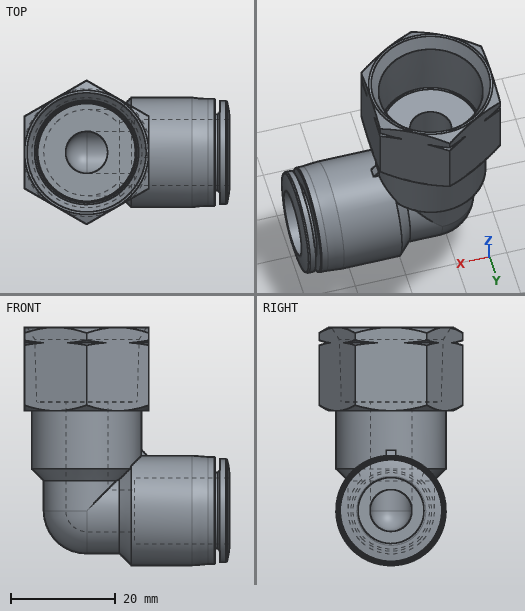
import cadquery as cq
import math


top_z = 35.0
nut_height = 15.95
nut_bottom_z = top_z - nut_height
corner_diameter = 27.5
corner_radius = corner_diameter / 2
flat_radius = corner_radius * math.cos(math.pi / 6)
bevel_radius = flat_radius - 0.05
bevel_drop = (corner_radius - bevel_radius) * math.tan(math.pi / 6)

groove_z = top_z - 2.95
groove_half_width = 0.48
groove_root_radius = 12.2

body_radius = 21.0 / 2
elbow_radius = 8.25
shoulder_length = body_radius - elbow_radius
stem_shoulder_z = 5.75
socket_shoulder_x = 6.3
rib_width = 1.8
rib_size = 1.05

taper_start_x = 20.05
taper_end_x = 23.15
socket_end_x = 24.52
socket_end_radius = 20.5 / 2
socket_edge = 0.2
neck_radius = 14.6 / 2
neck_end_x = 25.02
collar_start_x = 25.45
flare_length = collar_start_x - neck_end_x
collar_radius = 19.8 / 2
collar_rim_x = 26.53
collar_edge_x = 26.85
collar_edge_radius = 9.7
dome_mid_x = 27.15
dome_mid_radius = 8.3
end_x = 27.325
end_radius = 6.6

mouth_radius = 11.38
mouth_depth = 2.28
thread_radius = 9.95
thread_depth = 14.1
thread_taper = 1 / 16
thread_end_radius = thread_radius - (thread_depth - mouth_depth) * thread_taper / 2
floor_depth = 14.35
floor_radius = 9.35
passage_radius = 8.0 / 2
tube_radius = 12.6 / 2
tube_stop_x = 9.1


def revolve_about_z(points):
    """Turn a closed (radius, z) outline around the Z axis."""
    return cq.Workplane("XZ").polyline(points).close().revolve(360, (0, 0, 0), (0, 1, 0))


def make_nut():
    hexagon = (
        cq.Workplane("XY", origin=(0, 0, nut_bottom_z))
        .transformed(rotate=(0, 0, 30))
        .polygon(6, corner_diameter)
        .extrude(nut_height)
    )
    envelope = revolve_about_z([
        (0, nut_bottom_z),
        (bevel_radius, nut_bottom_z),
        (corner_radius, nut_bottom_z + bevel_drop),
        (corner_radius, groove_z - groove_half_width),
        (groove_root_radius, groove_z),
        (corner_radius, groove_z + groove_half_width),
        (corner_radius, top_z - bevel_drop),
        (bevel_radius, top_z),
        (0, top_z),
    ])
    return hexagon.intersect(envelope)


def make_stem():
    return revolve_about_z([
        (0, 0),
        (elbow_radius, 0),
        (elbow_radius, stem_shoulder_z),
        (body_radius, stem_shoulder_z + shoulder_length),
        (body_radius, nut_bottom_z),
        (0, nut_bottom_z),
    ])


def make_socket():
    outline = (
        cq.Workplane("XZ")
        .lineTo(0, elbow_radius)
        .lineTo(socket_shoulder_x, elbow_radius)
        .lineTo(socket_shoulder_x + shoulder_length, body_radius)
        .lineTo(taper_start_x, body_radius)
        .lineTo(taper_end_x, socket_end_radius)
        .lineTo(socket_end_x - socket_edge, socket_end_radius)
        .lineTo(socket_end_x, socket_end_radius - socket_edge)
        .lineTo(socket_end_x, neck_radius)
        .lineTo(neck_end_x, neck_radius)
        .lineTo(collar_start_x, neck_radius + flare_length)
        .lineTo(collar_start_x, collar_radius)
        .lineTo(collar_rim_x, collar_radius)
        .lineTo(collar_edge_x, collar_edge_radius)
        .threePointArc((dome_mid_x, dome_mid_radius), (end_x, end_radius))
        .lineTo(end_x, 0)
        .close()
    )
    return outline.revolve(360, (0, 0, 0), (1, 0, 0))


def make_corner_rib():
    """Small sloping web in the inside corner between stem and socket."""
    return (
        cq.Workplane("XZ")
        .moveTo(elbow_radius, elbow_radius)
        .lineTo(body_radius + rib_size, elbow_radius)
        .lineTo(body_radius + rib_size, body_radius)
        .lineTo(body_radius, body_radius + rib_size)
        .lineTo(elbow_radius, body_radius + rib_size)
        .close()
        .extrude(rib_width / 2, both=True)
    )


def make_threaded_bore():
    return revolve_about_z([
        (0, top_z),
        (mouth_radius, top_z),
        (thread_radius, top_z - mouth_depth),
        (thread_end_radius, top_z - thread_depth),
        (floor_radius, top_z - floor_depth),
        (0, top_z - floor_depth),
    ])


def make_passage():
    """Round passage that turns from the threaded bore into the tube bore."""
    upright = cq.Workplane("XY").circle(passage_radius).extrude(top_z - floor_depth)
    level = cq.Workplane("YZ").circle(passage_radius).extrude(tube_stop_x)
    tube_bore = (
        cq.Workplane("YZ", origin=(tube_stop_x, 0, 0))
        .circle(tube_radius)
        .extrude(end_x - tube_stop_x)
    )
    bend = cq.Workplane("XY").sphere(passage_radius)
    return upright.union(bend).union(level).union(tube_bore)


outer_bend = cq.Workplane("XY").sphere(elbow_radius)
outside = make_stem().union(make_socket()).union(outer_bend).union(make_nut()).union(make_corner_rib())
result = outside.cut(make_threaded_bore()).cut(make_passage())